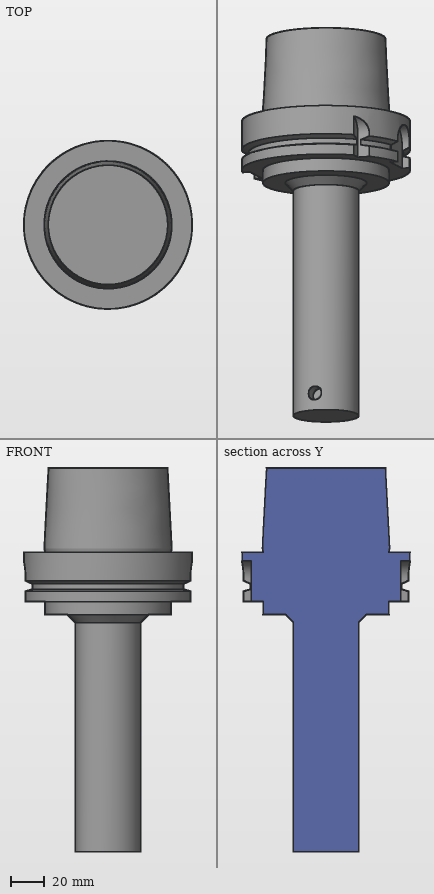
import cadquery as cq

total_height = 228.0
flange_top = 178.0
taper_base = 180.1
groove_top = 161.0
groove_floor_top = 159.1
groove_floor_bottom = 156.0
groove_bottom = 154.8
flange_bottom = 148.7
collar_bottom = 141.0
shank_top = 136.1

flange_diameter = 100.0
groove_diameter = 92.0
taper_top_diameter = 71.0
taper_base_diameter = 76.0
neck_diameter = 75.0
collar_diameter = 75.0
cone_diameter = 48.5
shank_diameter = 39.0

slot_width = 20.0
slot_top = 172.5
drive_floor = 44.5
notch_floor = 31.7
notch_center_y = 41.5

screw_diameter = 8.2
screw_height = 10.3
screw_depth = 8.7


def turned_body():
    """Revolve the half profile of the holder about Z."""
    steps = [
        (shank_diameter, 0),
        (shank_diameter, shank_top),
        (cone_diameter, collar_bottom),
        (collar_diameter, collar_bottom),
        (collar_diameter, flange_bottom),
        (flange_diameter, flange_bottom),
        (flange_diameter, groove_bottom),
        (groove_diameter, groove_floor_bottom),
        (groove_diameter, groove_floor_top),
        (flange_diameter, groove_top),
        (flange_diameter, flange_top),
        (neck_diameter, flange_top),
        (taper_base_diameter, taper_base),
        (taper_top_diameter, total_height),
    ]
    outline = [(0, 0)]
    outline += [(diameter / 2, z) for diameter, z in steps]
    outline += [(0, total_height)]
    return cq.Workplane("XZ").polyline(outline).close().revolve(360, (0, 0, 0), (0, 1, 0))


def slot_cutter(floor, center_y):
    """Round-topped cutter from x = -floor outward, open at the flange underside."""
    radius = slot_width / 2
    arc_center = slot_top - radius
    return (
        cq.Workplane("YZ", origin=(-floor, 0, 0))
        .moveTo(center_y - radius, flange_bottom)
        .lineTo(center_y - radius, arc_center)
        .threePointArc((center_y, slot_top), (center_y + radius, arc_center))
        .lineTo(center_y + radius, flange_bottom)
        .close()
        .extrude(floor - flange_diameter)
    )


def screw_hole():
    """Blind radial hole entering the shank from +Y."""
    hole_floor = shank_diameter / 2 - screw_depth
    return (
        cq.Workplane("XZ", origin=(0, hole_floor, 0))
        .center(0, screw_height)
        .circle(screw_diameter / 2)
        .extrude(-shank_diameter)
    )


result = turned_body()

drive_slot = slot_cutter(drive_floor, 0)
for angle in (0, 180):
    result = result.cut(drive_slot.rotate((0, 0, 0), (0, 0, 1), angle))

result = result.cut(slot_cutter(notch_floor, notch_center_y))

result = result.cut(screw_hole())